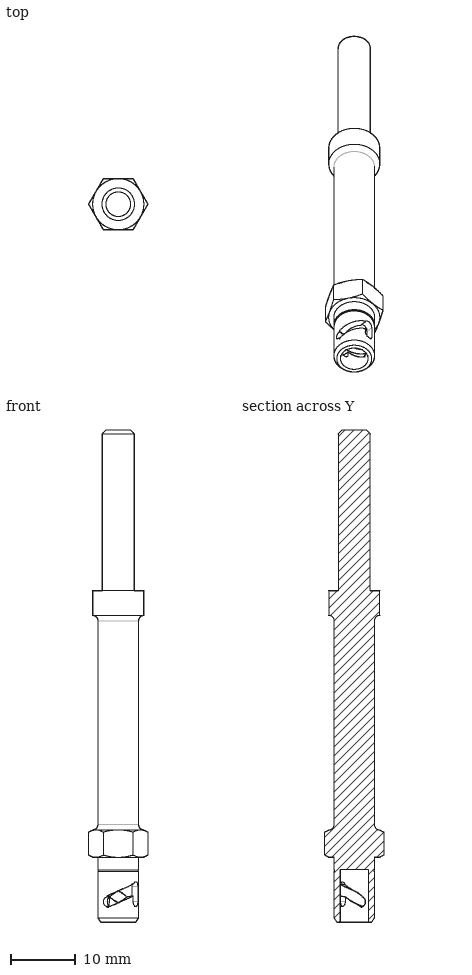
import cadquery as cq
import math

total_length = 76.0
pin_radius = 2.5
pin_chamfer = 0.6
body_radius = 3.155
tip_chamfer_height = 0.7
tip_chamfer_inset = 0.45

collar_radius = 3.95
collar_top = 51.2
collar_bottom = 47.35
blend_radius = collar_radius - body_radius

hex_across_corners = 9.2
hex_across_flats = 7.9
hex_bottom = 10.0
hex_height = 4.25
hex_top = hex_bottom + hex_height
hex_face_radius = hex_across_flats / 2
hex_chamfer_angle = 30

bore_radius = 2.1
bore_depth = 8.1
groove_z = 8.0
groove_depth = 0.1
groove_width = 0.2
slot_radius = 0.72
slot_low_z = 3.2
slot_high_z = 5.55
spiral_high_z = 5.3
spiral_height = 1.8
slot_low_angle = 237
slot_turn = 93


def make_shaft():
    """Revolved pin, collar and body, with concave blends beside the collar and the hexagon."""
    blend_mid = 1 - math.sqrt(0.5)
    neck_bottom = collar_bottom - blend_radius
    blend_top = hex_top + blend_radius
    profile = (
        cq.Workplane("XZ")
        .moveTo(0, 0)
        .lineTo(body_radius - tip_chamfer_inset, 0)
        .lineTo(body_radius, tip_chamfer_height)
        .lineTo(body_radius, hex_top - blend_radius)
        .lineTo(body_radius + blend_radius, hex_top - blend_radius)
        .lineTo(body_radius + blend_radius, hex_top)
        .threePointArc(
            (body_radius + blend_mid * blend_radius, hex_top + blend_mid * blend_radius),
            (body_radius, blend_top),
        )
        .lineTo(body_radius, neck_bottom)
        .threePointArc(
            (body_radius + blend_mid * blend_radius, collar_bottom - blend_mid * blend_radius),
            (collar_radius, collar_bottom),
        )
        .lineTo(collar_radius, collar_top)
        .lineTo(pin_radius, collar_top)
        .lineTo(pin_radius, total_length - pin_chamfer)
        .lineTo(pin_radius - pin_chamfer, total_length)
        .lineTo(0, total_length)
        .close()
    )
    return profile.revolve(360, (0, 0, 0), (0, 1, 0))


def make_hexagon():
    """Hexagon with corners on the X axis, trimmed by a cone at each end."""
    corner = hex_across_corners / 2
    flat = hex_across_flats / 2
    points = [
        (corner, 0),
        (corner / 2, flat),
        (-corner / 2, flat),
        (-corner, 0),
        (-corner / 2, -flat),
        (corner / 2, -flat),
    ]
    prism = cq.Workplane("XY").workplane(offset=hex_bottom).polyline(points).close().extrude(hex_height)
    drop = (corner - hex_face_radius) * math.tan(math.radians(hex_chamfer_angle))
    envelope = (
        cq.Workplane("XZ")
        .moveTo(0, hex_bottom)
        .lineTo(hex_face_radius, hex_bottom)
        .lineTo(corner, hex_bottom + drop)
        .lineTo(corner, hex_top - drop)
        .lineTo(hex_face_radius, hex_top)
        .lineTo(0, hex_top)
        .close()
        .revolve(360, (0, 0, 0), (0, 1, 0))
    )
    return prism.intersect(envelope)


def radial_direction(angle):
    """Outward unit vector at an angle around the Z axis."""
    return cq.Vector(math.cos(math.radians(angle)), math.sin(math.radians(angle)), 0)


def radial_hole(angle, z):
    """Round cutter pointing from the axis out through the wall."""
    return cq.Solid.makeCylinder(slot_radius, 2 * body_radius, cq.Vector(0, 0, z), radial_direction(angle))


def drop_slot(angle):
    """Upright slot with round ends at the high end of the helical slot."""
    direction = radial_direction(angle)
    plane = cq.Plane((0, 0, (slot_low_z + slot_high_z) / 2), (0, 0, 1), direction.toTuple())
    length = slot_high_z - slot_low_z + 2 * slot_radius
    return cq.Workplane(plane).slot2D(length, 2 * slot_radius).extrude(2 * body_radius)


def helical_slot(start_angle):
    """Rectangle swept along a rising spiral, with a round hole closing its low end."""
    rise = spiral_high_z - slot_low_z
    path = cq.Wire.makeHelix(rise * 360 / slot_turn, rise, body_radius)
    spiral = (
        cq.Workplane("XZ")
        .center(body_radius, 0)
        .rect(body_radius, spiral_height)
        .sweep(cq.Workplane(path), isFrenet=True)
        .rotate((0, 0, 0), (0, 0, 1), start_angle)
        .translate((0, 0, slot_low_z))
    )
    return spiral.union(cq.Workplane(radial_hole(start_angle, slot_low_z)))


def groove():
    """Fine groove around the body below the hexagon."""
    ring = cq.Workplane("XY").workplane(offset=groove_z - groove_width / 2)
    return ring.circle(collar_radius).circle(body_radius - groove_depth).extrude(groove_width)


result = make_shaft().union(make_hexagon())
result = result.cut(cq.Workplane("XY").circle(bore_radius).extrude(bore_depth))
result = result.cut(groove())
for half_turn in (0, 180):
    result = result.cut(helical_slot(slot_low_angle + half_turn))
    result = result.cut(drop_slot(slot_low_angle + slot_turn + half_turn))